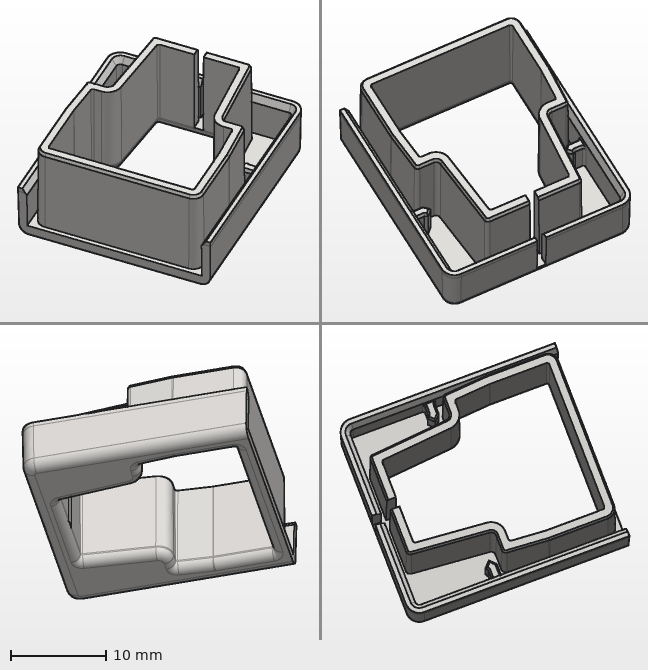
import cadquery as cq
import math

tray_width = 22.1
tray_depth = 24.5
rim_height = 6.15
floor_thickness = 1.18
tray_wall = 1.03
tray_corner_radius = 1.5
tray_draft = 1.0
rim_band = 0.5
rim_chamfer_width = 0.51
rim_chamfer_height = 0.78
bottom_fillet = 1.18

tip_chamfer_width = 0.2
tip_chamfer_height = 0.4

tower_height = 11.15
tower_wall = 1.18
tower_draft = 0.4
tower_back_y = 10.65
tower_shoulder_y = 1.22
tower_bend_y = -3.85
tower_front_y = -11.64
back_half_width = 5.73
neck_half_width = 6.55
shoulder_half_width = 9.11
front_half_width = 9.48
tower_corner_radius = 0.5
tower_front_radius = 1.22
tower_bend_radius = 1.95
bore_corner_radius = 0.2
bore_bottom_fillet = 1.0

slot_width = 1.05

rib_top_z = 4.68
rib_center_y = 2.23
rib_half_width = 0.55
rib_tip_x = 7.91
rib_barb_x = 8.58
rib_barb_half_width = 0.74
rib_neck_x = 8.95
rib_root_fillet = 0.27

selection_margin = 0.12

half_width = tray_width / 2
half_depth = tray_depth / 2
inner_half_width = half_width - tray_wall


def mirrored(right_corners):
    """Complete a back-to-front list of right-hand (x, y, radius) corners."""
    left_corners = [(-x, y, r) for x, y, r in reversed(right_corners)]
    return right_corners + left_corners


def directions(corners, i):
    """Unit vectors of the sides arriving at and leaving corner i."""
    before, here, after = [cq.Vector(*corners[k % len(corners)][:2]) for k in (i - 1, i, i + 1)]
    return (here - before).normalized(), (after - here).normalized()


def inset(corners, distance, least_radius):
    """Move every side of a clockwise outline inward, keeping bends concentric."""
    moved = []
    for i, (x, y, radius) in enumerate(corners):
        arriving, leaving = directions(corners, i)
        turn = arriving.cross(leaving).z
        shift = (leaving - arriving) * (distance / abs(turn))
        if turn > 0:
            shift = -shift
            radius += distance
        elif radius > 0:
            radius = max(radius - distance, least_radius)
        moved.append((x + shift.x, y + shift.y, radius))
    return moved


def rounded_outline(corners, z):
    """Closed outline at height z with a tangent arc at every corner of non-zero radius."""
    outline = cq.Workplane("XY", origin=(0, 0, z))
    for i, (x, y, radius) in enumerate(corners):
        here = cq.Vector(x, y)
        arriving, leaving = directions(corners, i)
        half_turn = arriving.getAngle(leaving) / 2
        setback = radius * math.tan(half_turn)
        start = here - arriving * setback
        outline = outline.moveTo(start.x, start.y) if i == 0 else outline.lineTo(start.x, start.y)
        if radius > 0:
            bulge = radius / math.cos(half_turn) - radius
            middle = here + (leaving - arriving).normalized() * bulge
            end = here + leaving * setback
            outline = outline.threePointArc((middle.x, middle.y), (end.x, end.y))
    return outline.close()


def tray_corners(wall):
    """U-shaped tray outline, thinned by wall on the closed sides only."""
    x = half_width - wall
    return mirrored([(x, half_depth - wall, tray_corner_radius - wall), (x, -half_depth, 0)])


def make_tray():
    band_bottom = rim_height - rim_band
    body = rounded_outline(tray_corners(0), band_bottom).extrude(-band_bottom, taper=tray_draft)
    body = body.faces("<Z").edges("not <Y").fillet(bottom_fillet)
    body = body.union(rounded_outline(tray_corners(0), band_bottom).extrude(rim_band))

    inner = tray_corners(tray_wall)
    pocket = rounded_outline(inner, floor_thickness).extrude(rim_height - floor_thickness)
    chamfer_angle = math.degrees(math.atan2(rim_chamfer_width, rim_chamfer_height))
    flare = rounded_outline(inner, rim_height - rim_chamfer_height)
    flare = flare.extrude(rim_chamfer_height, taper=-chamfer_angle)
    return body.cut(pocket).cut(flare)


def add_chamfered_tip(body):
    """Extend the top face upward by the chamfer height, leaning inward all round."""
    angle = math.degrees(math.atan2(tip_chamfer_width, tip_chamfer_height))
    return body.faces(">Z").wires().toPending().extrude(tip_chamfer_height, taper=angle)


def make_rib(side):
    """Barbed rib on the +X (side = 1) or -X (side = -1) wall, chamfered on top."""
    low_y = rib_center_y - rib_half_width
    high_y = rib_center_y + rib_half_width
    root_x = inner_half_width + tray_wall / 2
    tip_y = rib_center_y + (rib_barb_half_width - rib_half_width) / 2
    points = [
        (root_x, low_y),
        (rib_barb_x, low_y),
        (rib_tip_x, tip_y),
        (rib_barb_x, rib_center_y + rib_barb_half_width),
        (rib_neck_x, high_y),
        (root_x, high_y),
    ]
    rib = cq.Workplane("XY", origin=(0, 0, floor_thickness))
    rib = rib.polyline([(side * x, y) for x, y in points]).close()
    rib = rib.extrude(rib_top_z - tip_chamfer_height - floor_thickness)
    return add_chamfered_tip(rib)


tower_corners = mirrored([
    (back_half_width, tower_back_y, tower_corner_radius),
    (neck_half_width, tower_shoulder_y, tower_corner_radius),
    (shoulder_half_width, tower_shoulder_y, tower_corner_radius),
    (front_half_width, tower_bend_y, tower_bend_radius),
    (front_half_width, tower_front_y, tower_front_radius),
])
bore_corners = inset(tower_corners, tower_wall, bore_corner_radius)


def make_tower():
    straight_height = tower_height - tip_chamfer_height - floor_thickness
    tower = rounded_outline(tower_corners, floor_thickness).extrude(straight_height, taper=tower_draft)
    return add_chamfered_tip(tower)


def make_bore():
    bore_height = tower_height - floor_thickness
    return rounded_outline(bore_corners, floor_thickness).extrude(bore_height, taper=-tower_draft)


def fillet_rib_roots(tray):
    """Round the upright corners where the ribs meet the side walls, up through the rib chamfer."""
    for side in (1, -1):
        wall_x = side * inner_half_width
        root_zone = cq.selectors.BoxSelector(
            (wall_x - selection_margin, rib_center_y - 2 * rib_half_width, floor_thickness + selection_margin),
            (wall_x + selection_margin, rib_center_y + 2 * rib_half_width, rib_top_z - selection_margin),
        )
        tray = tray.edges(root_zone).fillet(rib_root_fillet)
    return tray


def cut_floor_opening(tray):
    """Continue the bore down through the floor and round its bottom edge outward."""
    opening = rounded_outline(bore_corners, 0).extrude(floor_thickness)
    inside_tray = cq.selectors.BoxSelector(
        (-inner_half_width, tower_front_y, -selection_margin),
        (inner_half_width, tower_back_y, selection_margin),
    )
    return tray.cut(opening).faces("<Z").edges(inside_tray).fillet(bore_bottom_fillet)


def make_slot():
    slot = cq.Workplane("XY", origin=(0, half_depth, floor_thickness))
    return slot.rect(slot_width, half_depth).extrude(tower_height)


tray = make_tray()
for side in (1, -1):
    tray = tray.union(make_rib(side))
tray = cut_floor_opening(fillet_rib_roots(tray))
tower = make_tower().cut(make_bore())
result = tray.union(tower).cut(make_slot())